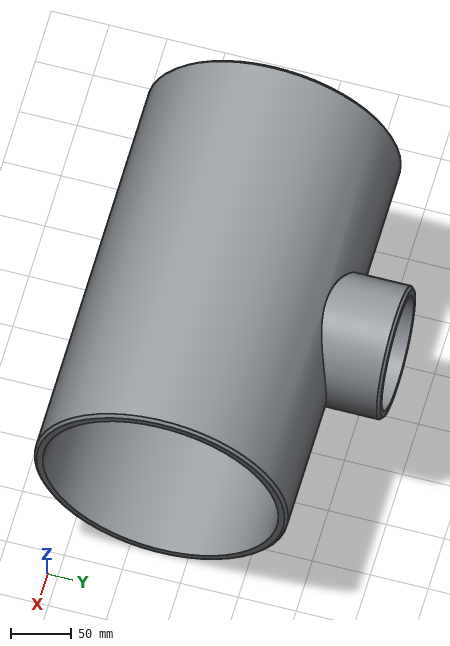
import cadquery as cq

run_length = 355.5
run_diameter = 219.0

branch_diameter = 114.5
branch_reach = 155.5

wall = 8.0

bevel = 2.5

run_bore = run_diameter - 2 * wall
branch_bore = branch_diameter - 2 * wall


def run_cylinder(diameter):
    """Cylinder along X, centred on the origin."""
    return cq.Workplane("YZ").circle(diameter / 2).extrude(run_length / 2, both=True)


def branch_cylinder(diameter):
    """Cylinder along +Y, from the run axis to the branch end face."""
    return cq.Workplane("XZ").circle(diameter / 2).extrude(-branch_reach)


run = run_cylinder(run_diameter).faces("<X or >X").chamfer(bevel)
branch = branch_cylinder(branch_diameter).faces(">Y").chamfer(bevel)

result = (
    run.union(branch)
    .cut(run_cylinder(run_bore))
    .cut(branch_cylinder(branch_bore))
)